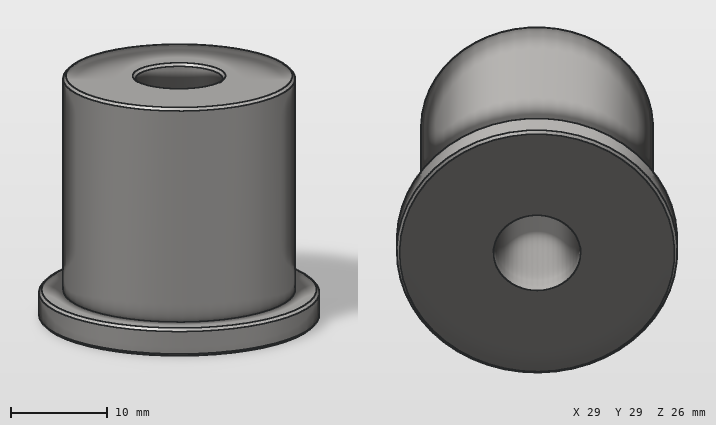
import cadquery as cq

flange_diameter = 29.0
flange_thickness = 3.0
body_diameter = 24.0
total_height = 26.0
bore_diameter = 9.0
edge_chamfer = 0.3

body_height = total_height - flange_thickness


def chamfered_disc(diameter, height, chamfered_edges):
    """Disc standing on Z = 0 with the selected rim edges chamfered."""
    disc = cq.Workplane("XY").circle(diameter / 2).extrude(height)
    return disc.edges(chamfered_edges).chamfer(edge_chamfer)


def bore_cutter():
    """Through bore along Z, flared by a chamfer at the top end."""
    bore_radius = bore_diameter / 2
    mouth_radius = bore_radius + edge_chamfer
    profile = [
        (0, 0),
        (bore_radius, 0),
        (bore_radius, total_height - edge_chamfer),
        (mouth_radius, total_height),
        (0, total_height),
    ]
    return cq.Workplane("XZ").polyline(profile).close().revolve(360, (0, 0), (0, 1))


flange = chamfered_disc(flange_diameter, flange_thickness, "%CIRCLE")

body = chamfered_disc(body_diameter, body_height, ">Z").translate((0, 0, flange_thickness))

result = flange.union(body).cut(bore_cutter())